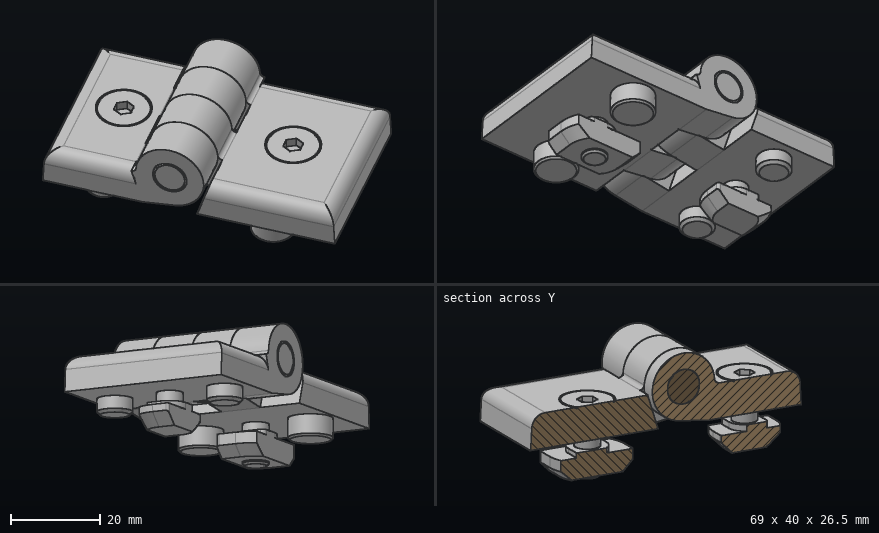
import cadquery as cq
import math


HINGE_WIDTH = 40.0
KNUCKLE_COUNT = 4
KNUCKLE_WIDTH = HINGE_WIDTH / KNUCKLE_COUNT
KNUCKLE_RADIUS = 8.0
PIN_HEIGHT = 9.0
PIN_DIAMETER = 8.0
PIN_CHAMFER = 0.5

HINGE_LENGTH = 69.0
LEFT_REACH = 30.0
RIGHT_REACH = HINGE_LENGTH - LEFT_REACH
PLATE_THICKNESS = 8.5
PLATE_EDGE_RADIUS = 3.45
END_DRAFT = 3.0
INNER_BOTTOM = 6.4
ROOT_RADIUS = 1.1

ROOT_RISE = PLATE_THICKNESS + ROOT_RADIUS - PIN_HEIGHT
INNER_TOP = math.sqrt((KNUCKLE_RADIUS + ROOT_RADIUS) ** 2 - ROOT_RISE ** 2)

SEAT_DIAMETER = 12.7
HEAD_DIAMETER = 12.0
GROOVE_DEPTH = (SEAT_DIAMETER - HEAD_DIAMETER) / 2
SOCKET_WIDTH = 4.0
SOCKET_DEPTH = 2.1
SCREW_DIAMETER = 6.0
SCREW_TIP_DIAMETER = 5.0

STUD_OFFSET = 14.0
NUT_BOTTOM = -8.7
NECK_CORNER_RADIUS = 1.0
FOOT_CORNER_RADIUS = 0.6

LEFT_HARDWARE = dict(
    screw_x=17.5, screw_bottom=NUT_BOTTOM,
    stud_diameter=8.1, stud_tip_diameter=6.6, stud_length=3.65,
    nut_width=8.0, nut_length=16.15, neck_top=-2.55, foot_top=-4.1, bevel_top=-5.7,
)
RIGHT_HARDWARE = dict(
    screw_x=22.5, screw_bottom=-9.5,
    stud_diameter=10.15, stud_tip_diameter=9.2, stud_length=4.9,
    nut_width=9.65, nut_length=19.2, neck_top=-2.35, foot_top=-3.5, bevel_top=-6.15,
)


def tipped_rod(diameter, tip_diameter, bottom):
    """Round rod hanging down from Z = 0, with a 45 degree chamfer at its lower end."""
    rod = cq.Workplane("XY").circle(diameter / 2).extrude(bottom)
    return rod.faces("<Z").chamfer((diameter - tip_diameter) / 2)


def plate(reach):
    """Plate with a drafted outer end, a sloping inner end and three rounded top edges."""
    draft = PLATE_THICKNESS * math.tan(math.radians(END_DRAFT))
    return (
        cq.Workplane("XZ")
        .polyline([
            (INNER_BOTTOM, 0),
            (reach, 0),
            (reach - draft, PLATE_THICKNESS),
            (INNER_TOP, PLATE_THICKNESS),
        ])
        .close()
        .extrude(HINGE_WIDTH / 2, both=True)
        .faces(">Z").edges("<Y or >Y or >X")
        .fillet(PLATE_EDGE_RADIUS)
    )


def on_knuckle(angle):
    """Point of the knuckle's outline at an angle in radians, measured up from +X."""
    return (KNUCKLE_RADIUS * math.cos(angle), PIN_HEIGHT + KNUCKLE_RADIUS * math.sin(angle))


def knuckle(front):
    """Round knuckle and the web that joins it to the plate, from Y = front towards +Y."""
    corner_distance = math.hypot(INNER_BOTTOM, PIN_HEIGHT)
    corner_angle = math.atan2(-PIN_HEIGHT, INNER_BOTTOM)
    tangent_angle = corner_angle - math.acos(KNUCKLE_RADIUS / corner_distance)

    root_angle = math.atan2(ROOT_RISE, INNER_TOP)
    straight_down = 1.5 * math.pi
    towards_pin = math.pi + root_angle
    root_middle_angle = (straight_down + towards_pin) / 2
    root_middle = (
        INNER_TOP + ROOT_RADIUS * math.cos(root_middle_angle),
        PIN_HEIGHT + ROOT_RISE + ROOT_RADIUS * math.sin(root_middle_angle),
    )

    plane = cq.Workplane("XZ", origin=(0, front, 0))
    web = (
        plane.moveTo(0, PIN_HEIGHT)
        .lineTo(*on_knuckle(tangent_angle))
        .lineTo(INNER_BOTTOM, 0)
        .lineTo(INNER_TOP, PLATE_THICKNESS)
        .threePointArc(root_middle, on_knuckle(root_angle))
        .close()
        .extrude(-KNUCKLE_WIDTH)
    )
    barrel = plane.center(0, PIN_HEIGHT).circle(KNUCKLE_RADIUS).extrude(-KNUCKLE_WIDTH)
    return barrel.union(web)


def pin_cylinder():
    """Plain cylinder of the pin's diameter across the full hinge width."""
    return (
        cq.Workplane("XZ")
        .center(0, PIN_HEIGHT)
        .circle(PIN_DIAMETER / 2)
        .extrude(HINGE_WIDTH / 2, both=True)
    )


def leaf_openings(screw_x):
    """Pin bore, 45 degree groove around the flush screw head, and hexagon socket in the head."""
    seat = cq.Solid.makeCone(
        HEAD_DIAMETER / 2, SEAT_DIAMETER / 2, GROOVE_DEPTH,
        pnt=cq.Vector(screw_x, 0, PLATE_THICKNESS - GROOVE_DEPTH),
    )
    top_plane = cq.Workplane("XY", origin=(screw_x, 0, PLATE_THICKNESS))
    head = top_plane.circle(HEAD_DIAMETER / 2).extrude(-GROOVE_DEPTH)
    groove = cq.Workplane(seat).cut(head)
    socket = top_plane.polygon(6, SOCKET_WIDTH, circumscribed=True).extrude(-SOCKET_DEPTH)
    return pin_cylinder().union(groove).union(socket)


def nut_neck(width, bottom, top):
    """Square neck with one diagonal pair of corners rounded to the full half width."""
    return (
        cq.Workplane("XY", origin=(0, 0, bottom))
        .rect(width, width)
        .extrude(top - bottom)
        .edges("|Z and (>(1, -1, 0) or <(1, -1, 0))").fillet(width / 2)
        .edges("|Z and (>(1, 1, 0) or <(1, 1, 0))").fillet(NECK_CORNER_RADIUS)
    )


def nut_foot(width, length, top, bevel_top):
    """Long foot with 45 degree bevels, straight on one diagonal and conical on the other."""
    half_length = length / 2
    bevel = bevel_top - NUT_BOTTOM
    profile = [
        (0, top),
        (half_length, top),
        (half_length, bevel_top),
        (half_length - bevel, NUT_BOTTOM),
        (0, NUT_BOTTOM),
    ]
    straight_quarter = cq.Workplane("XZ").polyline(profile).close().extrude(width / 2)
    round_quarter = cq.Workplane("XZ").polyline(profile).close().revolve(90, (0, 0), (0, 1))
    outline = (
        cq.Workplane("XY", origin=(0, 0, NUT_BOTTOM))
        .rect(length, width)
        .extrude(top - NUT_BOTTOM)
        .edges("|Z and >(1, -1, 0)").fillet(FOOT_CORNER_RADIUS)
    )
    half = straight_quarter.union(round_quarter).intersect(outline)
    return half.union(half.rotate((0, 0, 0), (0, 0, 1), 180))


def hardware(
    screw_x, screw_bottom, stud_diameter, stud_tip_diameter, stud_length,
    nut_width, nut_length, neck_top, foot_top, bevel_top,
):
    """Screw shank, slot nut and the two studs below one leaf."""
    parts = tipped_rod(SCREW_DIAMETER, SCREW_TIP_DIAMETER, screw_bottom)
    parts = parts.union(nut_neck(nut_width, foot_top, neck_top))
    parts = parts.union(nut_foot(nut_width, nut_length, foot_top, bevel_top))
    for side in (-1, 1):
        stud = tipped_rod(stud_diameter, stud_tip_diameter, -stud_length)
        parts = parts.union(stud.translate((0, side * STUD_OFFSET, 0)))
    return parts.translate((screw_x, 0, 0))


def leaf(reach, first_knuckle, sizes):
    """One hinge leaf with its screw, nut and studs, carrying every second knuckle."""
    body = plate(reach)
    for index in range(first_knuckle, KNUCKLE_COUNT, 2):
        body = body.union(knuckle(index * KNUCKLE_WIDTH - HINGE_WIDTH / 2))
    return body.cut(leaf_openings(sizes["screw_x"])).union(hardware(**sizes))


def hinge_pin():
    """Pin through all the knuckles, flush with the sides and chamfered at both ends."""
    return pin_cylinder().faces("<Y or >Y").chamfer(PIN_CHAMFER)


left_leaf = leaf(LEFT_REACH, 0, LEFT_HARDWARE).mirror("YZ")
right_leaf = leaf(RIGHT_REACH, 1, RIGHT_HARDWARE)
pin = hinge_pin()

result = cq.Compound.makeCompound([left_leaf.val(), right_leaf.val(), pin.val()])